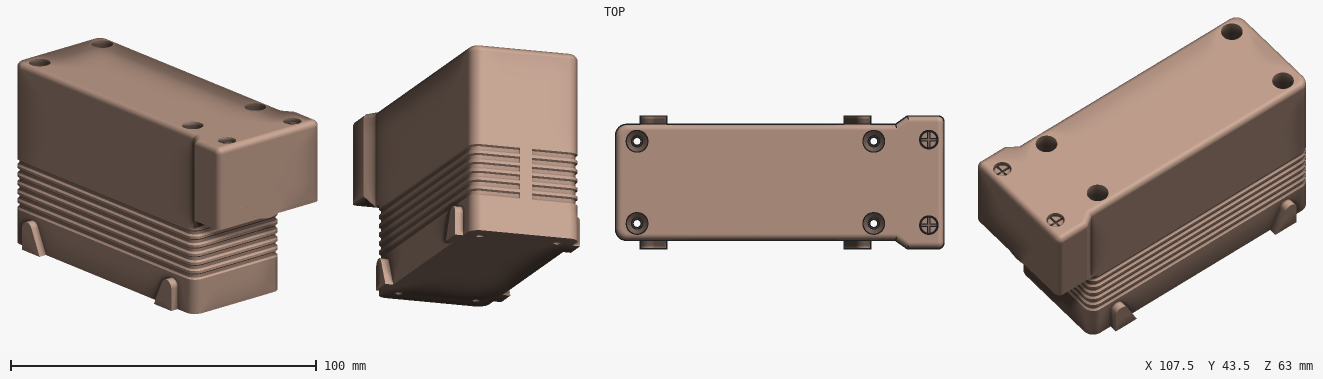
import cadquery as cq
import math

LENGTH = 107.5
HEAD_WIDTH = 43.5
HEIGHT = 63.0

BODY_LENGTH = 91.6
BODY_WIDTH = 38.1
CORNER_RADIUS = 3.8
EDGE_RADIUS = 2.0

HEAD_START = 95.5
HEAD_BOTTOM = 34.8
NECK_BOTTOM = 30.4

GROOVE_COUNT = 6
GROOVE_PITCH = 3.0
LOWEST_GROOVE = 13.0
GROOVE_HEIGHT = 2.2
GROOVE_DEPTH = 0.6
GROOVE_FLANK = 0.5
PLAIN_STRIP_WIDTH = 4.1

PEG_OUTER_X = 8.1
PEG_BASE_LENGTH = 8.8
PEG_HEIGHT = 10.2
PEG_RADIUS = 2.5

FIXING_INSET_X = 7.1
FIXING_Y = 13.4
FIXING_RADIUS = 3.5
FIXING_DEPTH = 10.8
FIXING_STEP_RADIUS = 1.8
FIXING_STEP_DEPTH = 1.1
FIXING_BORE_RADIUS = 1.3
DRILL_POINT_ANGLE = 120.0

PLUG_LENGTH = 10.0
PLUG_RADIUS = 10.8
PLUG_DROP = 0.8
PLUG_BOTTOM = HEAD_BOTTOM - PLUG_DROP

SCREW_X = LENGTH - PLUG_LENGTH / 2
SCREW_Y = 14.0
SCREW_RECESS_RADIUS = 3.0
SCREW_RECESS_DEPTH = 3.4
SCREW_HEAD_RADIUS = 2.7
SCREW_HEAD_HEIGHT = 2.2
SCREW_SHANK_RADIUS = 1.5
SCREW_SHANK_LENGTH = 16.1
SLOT_WIDTH = 0.9
SLOT_DEPTH = 1.3
SCREW_SEAT = HEIGHT - SCREW_RECESS_DEPTH
SCREW_TIP = SCREW_SEAT - SCREW_SHANK_LENGTH


def lower_body():
    """Ribbed part below the head, round at all four upright corners."""
    return (
        cq.Workplane("XY")
        .box(BODY_LENGTH, BODY_WIDTH, NECK_BOTTOM, centered=(False, True, False))
        .edges("|Z")
        .fillet(CORNER_RADIUS)
    )


def upper_body():
    """Upper part that widens into the overhanging head, rounded along its top edge."""
    outline = (
        cq.Workplane("XY")
        .moveTo(0, -BODY_WIDTH / 2)
        .lineTo(BODY_LENGTH, -BODY_WIDTH / 2)
        .lineTo(HEAD_START, -HEAD_WIDTH / 2)
        .lineTo(LENGTH, -HEAD_WIDTH / 2)
        .lineTo(LENGTH, HEAD_WIDTH / 2)
        .lineTo(HEAD_START, HEAD_WIDTH / 2)
        .lineTo(BODY_LENGTH, BODY_WIDTH / 2)
        .lineTo(0, BODY_WIDTH / 2)
        .close()
        .extrude(HEIGHT)
    )
    side_profile = (
        cq.Workplane("XZ")
        .moveTo(0, NECK_BOTTOM)
        .lineTo(BODY_LENGTH, NECK_BOTTOM)
        .lineTo(HEAD_START, HEAD_BOTTOM)
        .lineTo(LENGTH, HEAD_BOTTOM)
        .lineTo(LENGTH, HEIGHT)
        .lineTo(0, HEIGHT)
        .close()
        .extrude(HEAD_WIDTH / 2, both=True)
    )
    return (
        outline.edges("|Z and <X").fillet(CORNER_RADIUS)
        .edges("|Z and >X").fillet(EDGE_RADIUS)
        .faces(">Z").edges().fillet(EDGE_RADIUS)
        .intersect(side_profile)
    )


def rounded_outline(inset, height):
    """Closed outline of the lower body, moved inwards by the inset, at the given height."""
    sketch = (
        cq.Sketch()
        .rect(BODY_LENGTH - 2 * inset, BODY_WIDTH - 2 * inset)
        .vertices().fillet(CORNER_RADIUS - inset)
    )
    return cq.Workplane("XY", origin=(BODY_LENGTH / 2, 0, height)).placeSketch(sketch)


def groove(center_height):
    """Material of one trapezoidal grip groove, interrupted by the plain strip on the rear face."""
    bottom = center_height - GROOVE_HEIGHT / 2
    top = center_height + GROOVE_HEIGHT / 2
    flank_angle = math.degrees(math.atan2(GROOVE_DEPTH, GROOVE_FLANK))
    lower_flank = rounded_outline(0, bottom).extrude(GROOVE_FLANK, taper=flank_angle)
    upper_flank = rounded_outline(0, top).extrude(-GROOVE_FLANK, taper=flank_angle)
    floor = rounded_outline(GROOVE_DEPTH, bottom).extrude(GROOVE_HEIGHT)
    plain_strip = cq.Workplane("XY", origin=(0, 0, bottom)).box(
        BODY_LENGTH, PLAIN_STRIP_WIDTH, GROOVE_HEIGHT, centered=(True, True, False)
    )
    return (
        rounded_outline(-GROOVE_DEPTH, bottom).extrude(GROOVE_HEIGHT)
        .cut(floor)
        .cut(lower_flank)
        .cut(upper_flank)
        .cut(plain_strip)
    )


def rear_peg_pair():
    """Rear locking pegs: one bar across the body, upright at the back and sloping at the front."""
    center_x = PEG_OUTER_X + PEG_RADIUS
    center_z = PEG_HEIGHT - PEG_RADIUS
    base_end = PEG_OUTER_X + PEG_BASE_LENGTH
    reach = math.hypot(base_end - center_x, center_z)
    tangent_angle = math.acos(PEG_RADIUS / reach) - math.atan2(center_z, base_end - center_x)
    tangent_point = (
        center_x + PEG_RADIUS * math.cos(tangent_angle),
        center_z + PEG_RADIUS * math.sin(tangent_angle),
    )
    return (
        cq.Workplane("XZ")
        .moveTo(PEG_OUTER_X, 0)
        .lineTo(PEG_OUTER_X, center_z)
        .threePointArc((center_x, PEG_HEIGHT), tangent_point)
        .lineTo(base_end, 0)
        .close()
        .extrude(HEAD_WIDTH / 2, both=True)
    )


def fixing_hole(x, y):
    """Deep counterbore with a conical floor, a small step and a bore through the bottom."""
    cone_height = (FIXING_RADIUS - FIXING_STEP_RADIUS) / math.tan(math.radians(DRILL_POINT_ANGLE / 2))
    cone_top = HEIGHT - FIXING_DEPTH
    step_top = cone_top - cone_height
    step_bottom = step_top - FIXING_STEP_DEPTH
    profile = (
        cq.Workplane("XZ")
        .moveTo(0, 0)
        .lineTo(FIXING_BORE_RADIUS, 0)
        .lineTo(FIXING_BORE_RADIUS, step_bottom)
        .lineTo(FIXING_STEP_RADIUS, step_bottom)
        .lineTo(FIXING_STEP_RADIUS, step_top)
        .lineTo(FIXING_RADIUS, cone_top)
        .lineTo(FIXING_RADIUS, HEIGHT)
        .lineTo(0, HEIGHT)
        .close()
    )
    return profile.revolve().translate((x, y, 0))


def upright_cylinder(x, y, radius, bottom, top):
    """Cylinder along Z between two heights."""
    return cq.Workplane("XY", origin=(x, y, bottom)).circle(radius).extrude(top - bottom)


def make_housing():
    """Hood with its head, grooves and pegs, and the holes that seat the plug and screws."""
    rear_pegs = rear_peg_pair()
    front_pegs = rear_pegs.mirror("YZ", (BODY_LENGTH / 2, 0, 0))
    housing = lower_body().union(upper_body())
    for index in range(GROOVE_COUNT):
        housing = housing.cut(groove(LOWEST_GROOVE + index * GROOVE_PITCH))
    housing = housing.union(rear_pegs).union(front_pegs)
    for x in (FIXING_INSET_X, BODY_LENGTH - FIXING_INSET_X):
        for y in (-FIXING_Y, FIXING_Y):
            housing = housing.cut(fixing_hole(x, y))
    housing = housing.cut(make_cable_plug())
    for y in (-SCREW_Y, SCREW_Y):
        housing = housing.cut(upright_cylinder(SCREW_X, y, SCREW_RECESS_RADIUS, SCREW_SEAT, HEIGHT))
        housing = housing.cut(upright_cylinder(SCREW_X, y, SCREW_SHANK_RADIUS, SCREW_TIP, SCREW_SEAT))
    return housing


def make_cable_plug():
    """Round plug along X in the end face of the head, its underside standing below the head."""
    return (
        cq.Workplane("YZ", origin=(LENGTH, 0, PLUG_BOTTOM + PLUG_RADIUS))
        .circle(PLUG_RADIUS)
        .extrude(-PLUG_LENGTH)
    )


def make_screw(y):
    """Cylinder-head screw with two crossed slots across its head."""
    head_top = SCREW_SEAT + SCREW_HEAD_HEIGHT
    shank = upright_cylinder(SCREW_X, y, SCREW_SHANK_RADIUS, SCREW_TIP, SCREW_SEAT)
    head = upright_cylinder(SCREW_X, y, SCREW_HEAD_RADIUS, SCREW_SEAT, head_top)
    screw = shank.union(head)
    slot_length = 2 * SCREW_HEAD_RADIUS
    for size_x, size_y in ((slot_length, SLOT_WIDTH), (SLOT_WIDTH, slot_length)):
        slot = cq.Workplane("XY", origin=(SCREW_X, y, head_top)).rect(size_x, size_y).extrude(-SLOT_DEPTH)
        screw = screw.cut(slot)
    return screw


housing = make_housing()
cable_plug = make_cable_plug()
screws = [make_screw(y) for y in (-SCREW_Y, SCREW_Y)]

result = cq.Compound.makeCompound(
    [housing.val(), cable_plug.val(), *[screw.val() for screw in screws]]
)